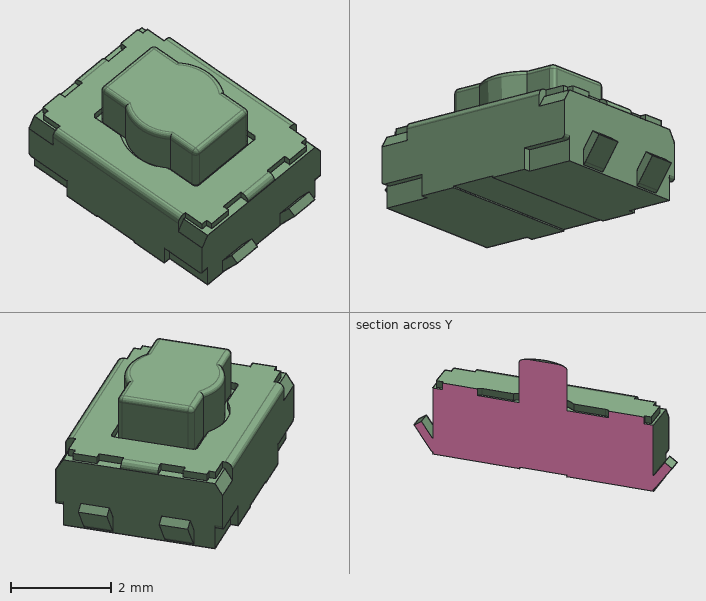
import cadquery as cq
import math

total_length = 5.5
total_height = 2.5

body_length = 4.695
body_width = 3.5
body_top = 1.495
chamfer_width = 0.16
chamfer_height = 0.25
shoulder_z = body_top - chamfer_height

recess_height = 0.45
recess_depth = 0.16
recess_inner_x = 1.32
recess_edge_radius = 0.075

channel_width = 1.0
channel_depth = 0.035

cover_top = 1.645
cover_edge_radius = 0.155
cover_ear_x = 2.29
cover_notch_x = 2.15
cover_ear_inner_y = 0.9
cover_ear_outer_y = 1.4
cover_corner_y = 1.54
side_flap_length = 3.4
end_flap_width = 0.78

button_length = 2.6
button_width = 1.59
button_lobe_radius = 1.0
button_corner_radius = 0.105
button_top_radius = 0.105
opening_gap = 0.105
opening_corner_radius = 0.09

terminal_width = 0.6
terminal_center_y = 0.845
terminal_thickness = 0.2
terminal_angle = math.radians(55)
terminal_tip_z = 0.59


def block(length, width, bottom, top):
    """Box centred in X and Y between two heights."""
    return cq.Workplane("XY").workplane(offset=bottom).rect(length, width).extrude(top - bottom)


def lobed_block(length, width, corner_radius, lobe_radius, bottom, top):
    """Rounded rectangular block merged with a round central lobe."""
    bar = block(length, width, bottom, top).edges("|Z").fillet(corner_radius)
    lobe = cq.Workplane("XY").workplane(offset=bottom).circle(lobe_radius).extrude(top - bottom)
    return bar.union(lobe)


def housing():
    """Block with its long top edges chamfered."""
    half_width = body_width / 2
    profile = [
        (-half_width, 0),
        (half_width, 0),
        (half_width, shoulder_z),
        (half_width - chamfer_width, body_top),
        (chamfer_width - half_width, body_top),
        (-half_width, shoulder_z),
    ]
    return cq.Workplane("YZ").polyline(profile).close().extrude(body_length / 2, both=True)


def cover():
    """Stepped top plate with flaps rolled over all four sides."""
    side_flaps = block(side_flap_length, body_width, shoulder_z, cover_top)
    side_flaps = side_flaps.edges("|X and >Z").fillet(cover_edge_radius)
    end_flaps = block(body_length, end_flap_width, shoulder_z, cover_top)
    end_flaps = end_flaps.edges("|Y and >Z").fillet(cover_edge_radius)

    plate = block(2 * cover_notch_x, 2 * cover_corner_y, body_top, cover_top)
    ears = block(2 * cover_ear_x, 2 * cover_ear_outer_y, body_top, cover_top)
    ear_gap = block(2 * cover_ear_x, 2 * cover_ear_inner_y, body_top, cover_top)
    return plate.union(ears.cut(ear_gap)).union(side_flaps).union(end_flaps)


def corner_recess(side_x, side_y):
    """Cutter for one lower corner; the overhang above it has a rounded outer edge."""
    inner_x = side_x * recess_inner_x
    outer_x = side_x * body_length / 2
    round_start_x = outer_x - side_x * recess_edge_radius
    arc_inset = recess_edge_radius * (1 - math.cos(math.radians(45)))
    arc_middle = (outer_x - side_x * arc_inset, recess_height + arc_inset)
    cutter = (
        cq.Workplane("XZ")
        .moveTo(inner_x, 0)
        .lineTo(inner_x, recess_height)
        .lineTo(round_start_x, recess_height)
        .threePointArc(arc_middle, (outer_x, recess_height + recess_edge_radius))
        .lineTo(outer_x, 0)
        .close()
        .extrude(recess_depth / 2, both=True)
    )
    return cutter.translate((0, side_y * (body_width - recess_depth) / 2, 0))


def terminal():
    """One +X terminal, centred in Y: flat foot bent sharply upwards outside the housing."""
    sine = math.sin(terminal_angle)
    cosine = math.cos(terminal_angle)
    half_angle = terminal_angle / 2
    rise = terminal_tip_z - terminal_thickness * (1 - cosine)
    bend_x = total_length / 2 - terminal_thickness * sine - rise * cosine / sine

    def on_bend(angle):
        x = bend_x + terminal_thickness * math.sin(angle)
        return (x, terminal_thickness * (1 - math.cos(angle)))

    outer_tip = (total_length / 2, terminal_tip_z)
    inner_tip = (outer_tip[0] - terminal_thickness * sine, outer_tip[1] + terminal_thickness * cosine)
    return (
        cq.Workplane("XZ")
        .moveTo(bend_x, 0)
        .threePointArc(on_bend(half_angle), on_bend(terminal_angle))
        .lineTo(*outer_tip)
        .lineTo(*inner_tip)
        .lineTo(bend_x, terminal_thickness)
        .close()
        .extrude(terminal_width / 2, both=True)
    )


result = housing().union(cover())
for side_x in (-1, 1):
    for side_y in (-1, 1):
        result = result.cut(corner_recess(side_x, side_y))
result = result.cut(block(channel_width, body_width, 0, channel_depth))

opening = lobed_block(
    button_length + 2 * opening_gap,
    button_width + 2 * opening_gap,
    opening_corner_radius,
    button_lobe_radius + opening_gap,
    body_top,
    cover_top,
)
button = lobed_block(
    button_length, button_width, button_corner_radius, button_lobe_radius, body_top, total_height
)
button = button.faces(">Z").edges().fillet(button_top_radius)
result = result.cut(opening).union(button)

right_terminal = terminal()
left_terminal = right_terminal.mirror("YZ")
for side_y in (-1, 1):
    shift = (0, side_y * terminal_center_y, 0)
    result = result.union(right_terminal.translate(shift)).union(left_terminal.translate(shift))